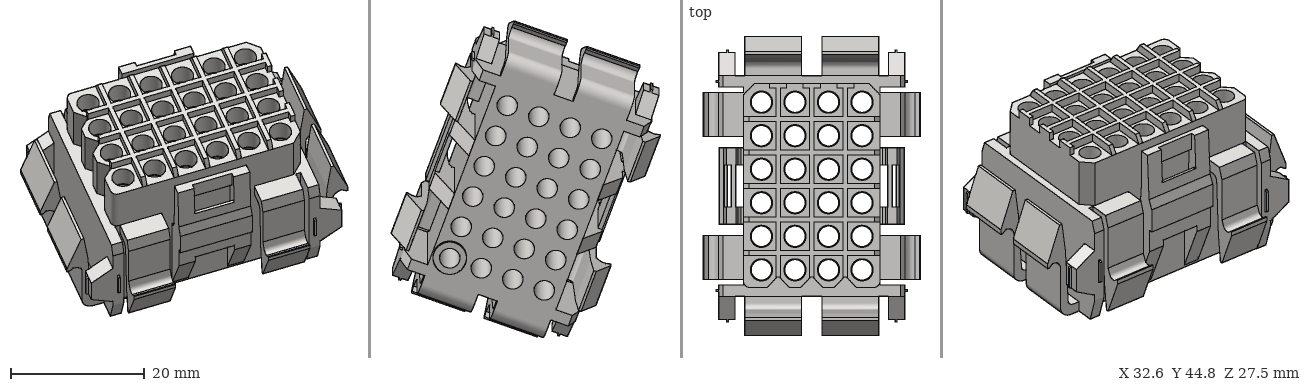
import cadquery as cq
import math

LENGTH = 44.8
WIDTH = 32.6
HEIGHT = 27.5

BASE_Z = 0.6
PLATE_TOP = 18.5
CORE_TOP = 26.15

PITCH = 5.0
COLUMNS = 4
ROWS = 6
HOLE_D = 3.05
COUNTERBORE_D = 3.3
COUNTERBORE_DEPTH = 3.6
MARKER_D = 5.0

CORE_HALF_X = 10.2
CORE_BACK_Y = 15.35
CORE_FRONT_Y = -15.2
BACK_CHAMFER = 1.7
FRONT_RADIUS = 1.0
NOTCH_HALF_MOUTH = 1.65
NOTCH_HALF_FLOOR = 0.2
NOTCH_DEPTH = 1.55

WALL = 0.7
WALL_TAPER = 0.85
CAP_LENGTH = 2.55

PLATE_INNER_Y = 14.8
PLATE_OUTER_Y = 16.55
PLATE_HALF_X = 13.95
PLATE_TOP_HALF_X = 13.3
PLATE_BOTTOM_HALF_X = 12.8
PLATE_BEVEL_TOP = 16.58
PLATE_BEVEL_BOTTOM = 4.5

EAR_INNER_X = 11.45
EAR_TIP_Y = 20.0
EAR_ROOT_Z = (5.5, 13.55)
EAR_TIP_Z = (7.53, 11.5)
RIB_WIDTH = 0.3
RIB_HEIGHT = 0.4
RIB_END_SLOPE = 0.22
RIB_X = 12.65

END_LATCH_X = (1.52, 10.05)
END_LATCH_OUTER = 20.0
END_LATCH_LEAN = 3.3
END_LATCH_FOOT = 1.7
SIDE_LATCH_Y = (7.4, 14.0)
SIDE_LATCH_INNER = 12.65
SIDE_LATCH_ROOT = 1.93
LATCH_INNER_RADIUS = 1.0

BRACKET_HALF_Y = 5.75
BRACKET_TOP = 25.65
BRACKET_INNER_X = 11.35
WINDOW_HALF_Y = 3.15
WINDOW_SILL_Z = 19.9
WINDOW_HEAD_Z = 22.85
SKIN_INNER_X = 12.65
SKIN_BOTTOM_Z = 9.68
BAR_OUTER_X = 12.05

OVERLAP = 0.22


def box(x_range, y_range, z_range):
    """Axis-aligned block between the given limits."""
    lows, highs = zip(x_range, y_range, z_range)
    sizes = [high - low for low, high in zip(lows, highs)]
    return cq.Workplane("XY").box(*sizes, centered=False).translate(lows)


def prism_along_y(outline, y_start, y_end):
    """Extrude a closed XZ outline from y_start to y_end."""
    return outline.extrude(y_start - y_end).translate((0, y_start, 0))


def prism_along_x(outline, x_start, x_end):
    """Extrude a closed YZ outline from x_start to x_end."""
    return outline.extrude(x_end - x_start).translate((x_start, 0, 0))


def grid_lines(count):
    """Centred positions of a row of `count` items at the contact pitch."""
    return [(i - (count - 1) / 2) * PITCH for i in range(count)]


WALL_LINES_X = grid_lines(COLUMNS - 1)
WALL_LINES_Y = grid_lines(ROWS - 1)
HOLE_POINTS = [(x, y) for x in grid_lines(COLUMNS) for y in grid_lines(ROWS)]


def make_core():
    """Plain base between the end plates, under a tower notched between the front contacts."""
    x_range = (-CORE_HALF_X, CORE_HALF_X)
    core = box(x_range, (CORE_FRONT_Y, CORE_BACK_Y), (PLATE_TOP - OVERLAP, CORE_TOP))
    core = core.edges("|Z and >Y").chamfer(BACK_CHAMFER)
    core = core.edges("|Z and <Y").fillet(FRONT_RADIUS)
    base = box(x_range, (CORE_FRONT_Y, CORE_BACK_Y), (BASE_Z, PLATE_TOP))
    core = core.union(base)
    floor_y = CORE_FRONT_Y + NOTCH_DEPTH
    for x in WALL_LINES_X:
        notch = (
            cq.Workplane("XY", origin=(x, 0, PLATE_TOP))
            .moveTo(-NOTCH_HALF_MOUTH, CORE_FRONT_Y)
            .lineTo(-NOTCH_HALF_FLOOR, floor_y)
            .lineTo(NOTCH_HALF_FLOOR, floor_y)
            .lineTo(NOTCH_HALF_MOUTH, CORE_FRONT_Y)
            .close()
            .extrude(CORE_TOP - PLATE_TOP)
        )
        core = core.cut(notch)
    return core


def make_walls():
    """Grid of thin walls between the contacts, with T-shaped caps at the back."""
    foot_z = CORE_TOP - OVERLAP
    z_range = (foot_z, HEIGHT)
    top_half_x = CORE_HALF_X - WALL_TAPER
    cross_outline = (
        cq.Workplane("XZ")
        .moveTo(-CORE_HALF_X, foot_z)
        .lineTo(CORE_HALF_X, foot_z)
        .lineTo(CORE_HALF_X, CORE_TOP)
        .lineTo(top_half_x, HEIGHT)
        .lineTo(-top_half_x, HEIGHT)
        .lineTo(-CORE_HALF_X, CORE_TOP)
        .close()
    )
    first_y = WALL_LINES_Y[0] - WALL / 2
    cross_wall = prism_along_y(cross_outline, first_y, first_y + WALL)
    walls = cross_wall
    for step in range(1, len(WALL_LINES_Y)):
        walls = walls.union(cross_wall.translate((0, step * PITCH, 0)))
    for x in WALL_LINES_X:
        long_wall = box(
            (x - WALL / 2, x + WALL / 2), (CORE_FRONT_Y + NOTCH_DEPTH, CORE_BACK_Y), z_range
        )
        cap = box(
            (x - CAP_LENGTH / 2, x + CAP_LENGTH / 2), (CORE_BACK_Y - WALL, CORE_BACK_Y), z_range
        )
        walls = walls.union(long_wall).union(cap)
    return walls


def make_crush_rib():
    """Fine vertical rib standing on the plane x = 0 and pointing along +X."""
    low, high = EAR_TIP_Z
    outline = (
        cq.Workplane("XZ")
        .moveTo(-OVERLAP, low)
        .lineTo(0, low)
        .lineTo(RIB_HEIGHT, low + RIB_END_SLOPE)
        .lineTo(RIB_HEIGHT, high - RIB_END_SLOPE)
        .lineTo(0, high)
        .lineTo(-OVERLAP, high)
        .close()
    )
    return prism_along_y(outline, -RIB_WIDTH / 2, RIB_WIDTH / 2)


def make_back_plate():
    """End plate on the +Y side with its two ears and crush ribs."""
    outline = (
        cq.Workplane("XZ")
        .moveTo(-PLATE_BOTTOM_HALF_X, BASE_Z)
        .lineTo(PLATE_BOTTOM_HALF_X, BASE_Z)
        .lineTo(PLATE_HALF_X, PLATE_BEVEL_BOTTOM)
        .lineTo(PLATE_HALF_X, PLATE_BEVEL_TOP)
        .lineTo(PLATE_TOP_HALF_X, PLATE_TOP)
        .lineTo(-PLATE_TOP_HALF_X, PLATE_TOP)
        .lineTo(-PLATE_HALF_X, PLATE_BEVEL_TOP)
        .lineTo(-PLATE_HALF_X, PLATE_BEVEL_BOTTOM)
        .close()
    )
    plate = prism_along_y(outline, PLATE_INNER_Y, PLATE_OUTER_Y)
    ear_outline = (
        cq.Workplane("YZ")
        .moveTo(PLATE_OUTER_Y - OVERLAP, EAR_ROOT_Z[0])
        .lineTo(PLATE_OUTER_Y, EAR_ROOT_Z[0])
        .lineTo(EAR_TIP_Y, EAR_TIP_Z[0])
        .lineTo(EAR_TIP_Y, EAR_TIP_Z[1])
        .lineTo(PLATE_OUTER_Y, EAR_ROOT_Z[1])
        .lineTo(PLATE_OUTER_Y - OVERLAP, EAR_ROOT_Z[1])
        .close()
    )
    ear = prism_along_x(ear_outline, EAR_INNER_X, PLATE_HALF_X)
    rib = make_crush_rib()
    side_rib = rib.translate((PLATE_HALF_X, (PLATE_INNER_Y + PLATE_OUTER_Y) / 2, 0))
    tip_rib = rib.rotate((0, 0, 0), (0, 0, 1), 90).translate((RIB_X, EAR_TIP_Y, 0))
    right_half = ear.union(side_rib).union(tip_rib)
    return plate.union(right_half).union(right_half.mirror("YZ"))


def make_end_latch():
    """Latch rising from the foot of the +Y end plate, on the +X side."""
    tip_y = LENGTH / 2
    hook_low, ledge, hook_high, top = 10.57, 11.1, 11.42, 17.5
    foot_top = BASE_Z + END_LATCH_FOOT
    lean = math.radians(END_LATCH_LEAN)
    foot_inner = 17.55
    bend_start_y = foot_inner + LATCH_INNER_RADIUS * math.cos(lean)
    bend_start_z = foot_top + LATCH_INNER_RADIUS * (1 - math.sin(lean))
    taper_z = 12.55
    taper_y = bend_start_y + (taper_z - bend_start_z) * math.tan(lean)
    top_inner, top_outer = 19.7, 20.15
    hook_lip = 0.25
    outer_radius = 1.95
    hook_radius = 1.45
    outline = (
        cq.Workplane("YZ")
        .moveTo(PLATE_OUTER_Y - OVERLAP, BASE_Z)
        .lineTo(END_LATCH_OUTER - outer_radius, BASE_Z)
        .radiusArc((END_LATCH_OUTER, BASE_Z + outer_radius), -outer_radius)
        .lineTo(END_LATCH_OUTER, ledge - hook_radius)
        .radiusArc((END_LATCH_OUTER + hook_radius, ledge), hook_radius)
        .lineTo(tip_y - hook_lip, hook_low)
        .lineTo(tip_y, hook_low)
        .lineTo(tip_y, hook_high)
        .lineTo(top_outer, top)
        .lineTo(top_inner, top)
        .lineTo(taper_y, taper_z)
        .lineTo(bend_start_y, bend_start_z)
        .radiusArc((foot_inner, foot_top), LATCH_INNER_RADIUS)
        .lineTo(PLATE_OUTER_Y - OVERLAP, foot_top)
        .close()
    )
    return prism_along_x(outline, *END_LATCH_X)


def make_side_latch():
    """Latch hanging from the top of the +X side of the core, on the +Y side."""
    tip_x = WIDTH / 2
    bottom, hook_low, ledge, hook_high = 1.6, 7.75, 7.95, 8.45
    lip_x, ledge_x = 16.15, 15.45
    slope_top_z = 9.35
    slope_end = (14.4, 8.4)
    valley_x, valley_radius = 15.1, 0.8
    bottom_inner = 13.55
    inner_bend = (13.05, 6.5)
    root_z = PLATE_TOP - SIDE_LATCH_ROOT
    outline = (
        cq.Workplane("XZ")
        .moveTo(CORE_HALF_X - OVERLAP, PLATE_TOP)
        .lineTo(PLATE_TOP_HALF_X, PLATE_TOP)
        .lineTo(PLATE_HALF_X, PLATE_BEVEL_TOP)
        .lineTo(PLATE_HALF_X, slope_top_z)
        .lineTo(*slope_end)
        .radiusArc((valley_x, ledge), -valley_radius)
        .lineTo(ledge_x, ledge)
        .lineTo(lip_x, hook_high)
        .lineTo(tip_x, hook_high)
        .lineTo(tip_x, hook_low)
        .lineTo(PLATE_HALF_X, bottom)
        .lineTo(bottom_inner, bottom)
        .lineTo(*inner_bend)
        .lineTo(SIDE_LATCH_INNER, root_z - LATCH_INNER_RADIUS)
        .radiusArc((SIDE_LATCH_INNER - LATCH_INNER_RADIUS, root_z), -LATCH_INNER_RADIUS)
        .lineTo(CORE_HALF_X - OVERLAP, root_z)
        .close()
    )
    return prism_along_y(outline, *SIDE_LATCH_Y)


def make_side_bracket():
    """Windowed bracket in the middle of the +X side."""
    top_outer, neck_outer, body_outer, skirt_outer = 12.75, 13.15, 13.85, 13.3
    neck_z, shoulder_z, step_z, skirt_z, toe_z = 17.9, 16.45, 12.45, 8.65, 1.0
    inner_straight_z = 20.15
    gap_floor_z = 15.25
    gap_floor_outer, gap_bend = 10.6, (11.0, 16.15)
    outline = (
        cq.Workplane("XZ")
        .moveTo(BRACKET_INNER_X, BRACKET_TOP)
        .lineTo(top_outer, BRACKET_TOP)
        .lineTo(neck_outer, neck_z)
        .lineTo(body_outer, shoulder_z)
        .lineTo(body_outer, step_z)
        .lineTo(skirt_outer, step_z)
        .lineTo(skirt_outer, skirt_z)
        .lineTo(CORE_HALF_X, toe_z)
        .lineTo(CORE_HALF_X - OVERLAP, toe_z)
        .lineTo(CORE_HALF_X - OVERLAP, gap_floor_z)
        .lineTo(gap_floor_outer, gap_floor_z)
        .lineTo(*gap_bend)
        .lineTo(BRACKET_INNER_X, inner_straight_z)
        .close()
    )
    bracket = prism_along_y(outline, -BRACKET_HALF_Y, BRACKET_HALF_Y)
    window_y = (-WINDOW_HALF_Y, WINDOW_HALF_Y)
    outside_x = WIDTH / 2
    recess = box((BAR_OUTER_X, outside_x), window_y, (WINDOW_SILL_Z, BRACKET_TOP))
    hollow = box((CORE_HALF_X, SKIN_INNER_X), window_y, (BASE_Z, WINDOW_HEAD_Z))
    lower_opening = box((CORE_HALF_X, outside_x), window_y, (BASE_Z, SKIN_BOTTOM_Z))
    return bracket.cut(recess).cut(hollow).cut(lower_opening)


def make_marker():
    """Round boss under the front right contact, marking the first position."""
    marker_x, marker_y = grid_lines(COLUMNS)[-1], grid_lines(ROWS)[0]
    return (
        cq.Workplane("XY")
        .center(marker_x, marker_y)
        .circle(MARKER_D / 2)
        .extrude(BASE_Z + OVERLAP)
    )


def cut_contact_holes(body):
    """Stepped through holes for all the contacts."""
    bores = cq.Workplane("XY").pushPoints(HOLE_POINTS).circle(HOLE_D / 2).extrude(HEIGHT)
    counterbores = (
        cq.Workplane("XY", origin=(0, 0, CORE_TOP - COUNTERBORE_DEPTH))
        .pushPoints(HOLE_POINTS)
        .circle(COUNTERBORE_D / 2)
        .extrude(COUNTERBORE_DEPTH)
    )
    return body.cut(bores).cut(counterbores)


def with_mirror(shape, plane):
    """The shape together with its mirror image."""
    return shape.union(shape.mirror(plane))


body = make_core().union(make_walls())
body = body.union(with_mirror(make_back_plate(), "XZ"))
body = body.union(with_mirror(with_mirror(make_end_latch(), "YZ"), "XZ"))
body = body.union(with_mirror(with_mirror(make_side_latch(), "YZ"), "XZ"))
body = body.union(with_mirror(make_side_bracket(), "YZ"))
body = body.union(make_marker())
result = cut_contact_holes(body)